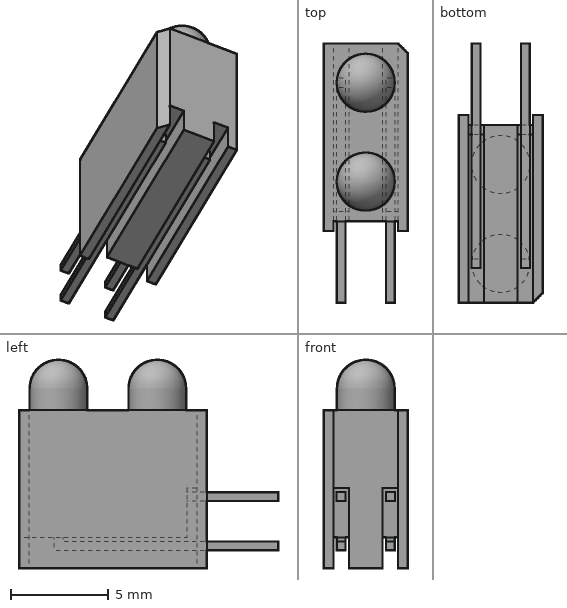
import cadquery as cq

total_length = 13.33
body_width = 4.32
body_depth = 9.65
body_height = 8.13
flange_thickness = 0.5
flange_projection = 0.5
chamfer_x = 0.5
chamfer_y = 0.5

channel_width = 0.79
channel_height = 1.6
recess_depth = 0.5
recess_top = 4.13

total_height = 10.73
lamp_radius = 1.49
lamp_pitch = 5.08
rear_lamp_inset = 2.03

lead_size = 0.47
lead_pitch = 2.53
lower_lead_height = 1.16
lead_embed = 0.27

rear_y = total_length
flange_front_y = rear_y - body_depth
front_face_y = flange_front_y + flange_projection
recess_face_y = front_face_y + recess_depth
inner_width = body_width - 2 * flange_thickness
channel_x = (inner_width - channel_width) / 2
lead_x = lead_pitch / 2
rear_lamp_y = rear_y - rear_lamp_inset
front_lamp_y = rear_lamp_y - lamp_pitch
upper_lead_height = lower_lead_height + lead_pitch


def box_between(center_x, width, y_start, y_end, z_start, z_end):
    """Block centred on center_x and bounded by the given Y and Z limits."""
    return cq.Workplane("XY").box(
        width, y_end - y_start, z_end - z_start, centered=(True, False, False)
    ).translate((center_x, y_start, z_start))


def make_housing():
    """Block with two front flanges, one chamfered rear corner and open lead channels."""
    half_width = body_width / 2
    housing = (
        cq.Workplane("XY")
        .moveTo(-half_width, flange_front_y)
        .lineTo(half_width, flange_front_y)
        .lineTo(half_width, rear_y - chamfer_y)
        .lineTo(half_width - chamfer_x, rear_y)
        .lineTo(-half_width, rear_y)
        .close()
        .extrude(body_height)
    )
    front_gap = box_between(0, inner_width, flange_front_y, front_face_y, 0, body_height)
    housing = housing.cut(front_gap)
    for side in (-1, 1):
        x = side * channel_x
        channel = box_between(x, channel_width, flange_front_y, rear_y, 0, channel_height)
        recess = box_between(x, channel_width, flange_front_y, recess_face_y, 0, recess_top)
        housing = housing.cut(channel).cut(recess)
    return housing


def make_lamp(y):
    """Cylinder with a hemispherical top, standing on the housing."""
    dome_center_z = total_height - lamp_radius
    lamp = (
        cq.Workplane("XY", origin=(0, y, body_height))
        .circle(lamp_radius)
        .extrude(dome_center_z - body_height)
    )
    dome = (
        cq.Workplane("XY")
        .sphere(lamp_radius, angle1=0)
        .translate((0, y, dome_center_z))
    )
    return lamp.union(dome)


def make_upper_lead(x):
    """Straight lead coming out of the recess face."""
    return box_between(
        x, lead_size, 0, recess_face_y + lead_embed,
        upper_lead_height - lead_size / 2, upper_lead_height + lead_size / 2,
    )


def make_lower_lead(x):
    """Lead running along the channel and bent up into the housing below the rear lamp."""
    bottom = lower_lead_height - lead_size / 2
    bend_start_y = rear_lamp_y - lead_size / 2
    bend_end_y = rear_lamp_y + lead_size / 2
    run = box_between(x, lead_size, 0, bend_end_y, bottom, bottom + lead_size)
    riser = box_between(x, lead_size, bend_start_y, bend_end_y, bottom, channel_height + lead_embed)
    return run.union(riser)


result = make_housing()
for lamp_y in (front_lamp_y, rear_lamp_y):
    result = result.union(make_lamp(lamp_y))
for x in (-lead_x, lead_x):
    result = result.union(make_upper_lead(x)).union(make_lower_lead(x))